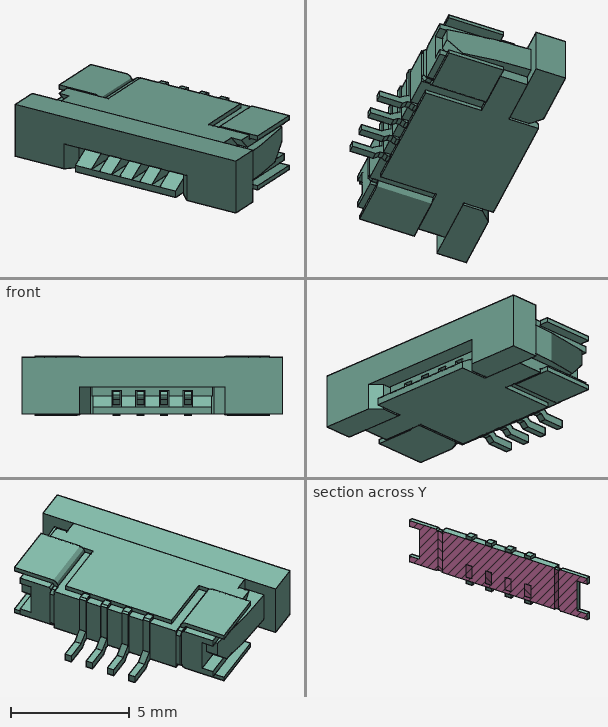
import cadquery as cq
import math

HEIGHT = 2.4
MID_Z = HEIGHT / 2
SEAT_DROP = 0.05

SLIDER_WIDTH = 11.0
SLIDER_DEPTH = 1.35
MOUTH_HALF_WIDTH = 2.6
MOUTH_HEIGHT = 1.15
MOUTH_FLARE = 0.46
ARM_INNER_X = 4.1
ARM_ROOT_X = 4.95
ARM_MID_X = 4.88
ARM_TIP_X = 4.62
ARM_MID_Y = 2.94
ARM_TIP_Y = 5.05
ARM_CLEARANCE = 0.03
ARM_CHAMFER = 0.68

CORE_HALF_WIDTH = 4.05
WING_HALF_WIDTH = 4.55
WING_REAR_Y = 5.35
WING_FRONT_Y = 1.95
WING_UNDERCUT = 0.47
GROOVE_BOTTOM = 0.5
GROOVE_TOP = HEIGHT - GROOVE_BOTTOM
LEDGE_DEPTH = 0.2
LEDGE_FRONT_Y = 2.6
PAD_HALF_WIDTH = 2.5
PAD_REAR_Y = 5.15
HOUSING_REAR_Y = 5.49

LIP_HALF_WIDTH = 2.5
NOSE_HALF_WIDTH = 2.54
LIP_HEIGHT = 0.3
RAMP_TOP_Z = 0.76
RAMP_ANGLE = 30
NOSE_FRONT_Y = (RAMP_TOP_Z - LIP_HEIGHT) / math.tan(math.radians(RAMP_ANGLE))
WINDOW_WIDTH = 0.4
WINDOW_TOP = 1.0
WINDOW_REAR_Y = 1.96

TAB_THICKNESS = 0.2
TAB_INNER_X = 2.88
TAB_OUTER_X = 4.95
TAB_BEND_RADIUS = 0.3
TAB_REAR_Y = 5.1
TAB_TOP = HEIGHT + SEAT_DROP
WEB_TIP_CHAMFER = 0.16
SLOT_CHAMFER = TAB_BEND_RADIUS - TAB_THICKNESS

CONTACT_COUNT = 4
CONTACT_PITCH = 1.0
CONTACT_WIDTH = 0.3
POST_INSET = 0.05
BEAM_TOP = 0.95
BEAM_BOTTOM = 0.38
NOSE_TIP_Y = 1.7
NOSE_TOP = 0.8
NOSE_FACE_HEIGHT = 0.025
NOSE_RADIUS = 0.16
NOSE_BACK_Y = 1.97
POST_FRONT_Y = 5.17
POST_REAR_Y = 5.55
POST_TOP = HEIGHT - POST_INSET
POST_TOP_CHAMFER_Y = 0.1
POST_TOP_CHAMFER_Z = 0.05
POST_HEEL_Y = 5.3
ANKLE_FRONT_Y = 5.45
ANKLE_REAR_Y = 5.63
ANKLE_BOTTOM = 0.15
ANKLE_TOP = 0.61
FOOT_TOP = 0.28
FOOT_TOP_Y = 5.99
FOOT_BOTTOM_Y = 5.85
FOOT_END_Y = 6.9


def block(x0, x1, y0, y1, z0, z1):
    """Box between two opposite corners."""
    return cq.Workplane("XY").box(x1 - x0, y1 - y0, z1 - z0, centered=False).translate((x0, y0, z0))


def wide_block(half_width, y0, y1, z0, z1):
    """Box centred on X = 0."""
    return block(-half_width, half_width, y0, y1, z0, z1)


def with_mirror(shape):
    """The shape together with its mirror image across X = 0."""
    return shape.union(shape.mirror("YZ"))


def contact_positions():
    first = -(CONTACT_COUNT - 1) / 2 * CONTACT_PITCH
    return [first + i * CONTACT_PITCH for i in range(CONTACT_COUNT)]


def make_contact(x):
    """Spring beam with a rounded nose, an upright post and a bent solder foot."""
    nose_center_y = NOSE_TIP_Y + NOSE_RADIUS
    nose_center_z = NOSE_TOP - NOSE_FACE_HEIGHT
    nose_bottom = nose_center_z - NOSE_RADIUS
    arc_reach = NOSE_RADIUS * math.sqrt(0.5)
    profile = (
        cq.Workplane("YZ", origin=(x, 0, 0))
        .moveTo(NOSE_BACK_Y, BEAM_TOP)
        .lineTo(POST_FRONT_Y, BEAM_TOP)
        .lineTo(POST_FRONT_Y, POST_TOP)
        .lineTo(POST_REAR_Y - POST_TOP_CHAMFER_Y, POST_TOP)
        .lineTo(POST_REAR_Y, POST_TOP - POST_TOP_CHAMFER_Z)
        .lineTo(POST_REAR_Y, ANKLE_TOP)
        .lineTo(FOOT_TOP_Y, FOOT_TOP)
        .lineTo(FOOT_END_Y, FOOT_TOP)
        .lineTo(FOOT_END_Y, -SEAT_DROP)
        .lineTo(FOOT_BOTTOM_Y, -SEAT_DROP)
        .lineTo(ANKLE_REAR_Y, ANKLE_BOTTOM)
        .lineTo(ANKLE_FRONT_Y, ANKLE_BOTTOM)
        .lineTo(POST_HEEL_Y, POST_INSET)
        .lineTo(POST_FRONT_Y, POST_INSET)
        .lineTo(POST_FRONT_Y, BEAM_BOTTOM)
        .lineTo(NOSE_BACK_Y, BEAM_BOTTOM)
        .lineTo(nose_center_y, nose_bottom)
        .threePointArc(
            (nose_center_y - arc_reach, nose_center_z - arc_reach),
            (NOSE_TIP_Y, nose_center_z),
        )
        .lineTo(NOSE_TIP_Y, NOSE_TOP)
        .close()
    )
    return profile.extrude(CONTACT_WIDTH / 2, both=True)


def make_right_tab():
    """C-shaped solder tab: two plates bent outward from an upright web at +X."""
    envelope = block(TAB_INNER_X, TAB_OUTER_X, LEDGE_FRONT_Y, TAB_REAR_Y, -SEAT_DROP, TAB_TOP)
    envelope = envelope.edges("|Y and <X").fillet(TAB_BEND_RADIUS)
    inside = block(
        TAB_INNER_X + TAB_THICKNESS, TAB_OUTER_X + TAB_THICKNESS,
        LEDGE_FRONT_Y, TAB_REAR_Y,
        TAB_THICKNESS - SEAT_DROP, TAB_TOP - TAB_THICKNESS,
    )
    inside = inside.edges("|Y and <X").fillet(TAB_BEND_RADIUS - TAB_THICKNESS)
    web_margin = TAB_BEND_RADIUS - SEAT_DROP
    web_tip = block(
        TAB_INNER_X, TAB_INNER_X + TAB_THICKNESS,
        TAB_REAR_Y, HOUSING_REAR_Y, web_margin, HEIGHT - web_margin,
    )
    web_tip = web_tip.edges("|X and >Y").chamfer(WEB_TIP_CHAMFER)
    return envelope.cut(inside).union(web_tip)


def make_slider():
    """Front bar with a flared cable mouth and two tapered side arms."""
    bar = wide_block(SLIDER_WIDTH / 2, 0, SLIDER_DEPTH, 0, HEIGHT)
    flare_half_width = MOUTH_HALF_WIDTH + MOUTH_FLARE
    mouth = (
        cq.Workplane("XY")
        .polyline([
            (-flare_half_width, 0),
            (flare_half_width, 0),
            (MOUTH_HALF_WIDTH, MOUTH_FLARE),
            (MOUTH_HALF_WIDTH, SLIDER_DEPTH),
            (-MOUTH_HALF_WIDTH, SLIDER_DEPTH),
            (-MOUTH_HALF_WIDTH, MOUTH_FLARE),
        ])
        .close()
        .extrude(MOUTH_HEIGHT)
    )
    arm_bottom = GROOVE_BOTTOM + ARM_CLEARANCE
    arm_top = GROOVE_TOP - ARM_CLEARANCE
    arm = (
        cq.Workplane("XY", origin=(0, 0, arm_bottom))
        .polyline([
            (ARM_INNER_X, SLIDER_DEPTH),
            (ARM_ROOT_X, SLIDER_DEPTH),
            (ARM_MID_X, ARM_MID_Y),
            (ARM_TIP_X, ARM_TIP_Y),
            (ARM_INNER_X, ARM_TIP_Y),
        ])
        .close()
        .extrude(arm_top - arm_bottom)
        .edges("<Z and >Y")
        .chamfer(ARM_CHAMFER)
    )
    return bar.cut(mouth).union(with_mirror(arm))


def make_lip():
    """Nose block with a ramped lip that guides the cable."""
    nose = wide_block(NOSE_HALF_WIDTH, NOSE_FRONT_Y, SLIDER_DEPTH, RAMP_TOP_Z, MOUTH_HEIGHT)
    ramp = (
        cq.Workplane("YZ")
        .polyline([
            (0, 0),
            (0, LIP_HEIGHT),
            (NOSE_FRONT_Y, RAMP_TOP_Z),
            (SLIDER_DEPTH, RAMP_TOP_Z),
            (SLIDER_DEPTH, 0),
        ])
        .close()
        .extrude(LIP_HALF_WIDTH, both=True)
    )
    return nose.union(ramp)


def make_ledges():
    """Material removed above the upper ledges; mirrored across MID_Z for the lower ones."""
    ledge_z = HEIGHT - LEDGE_DEPTH
    surround = wide_block(WING_HALF_WIDTH, LEDGE_FRONT_Y, HOUSING_REAR_Y, ledge_z, HEIGHT)
    pad = wide_block(PAD_HALF_WIDTH, LEDGE_FRONT_Y, PAD_REAR_Y, ledge_z, HEIGHT)
    upper = surround.cut(pad)
    return upper.union(upper.mirror("XY", (0, 0, MID_Z)))


def make_wing_front_cut():
    """Wedge-ended cut that clears the front of the upper wing at +X."""
    return (
        cq.Workplane("YZ", origin=(CORE_HALF_WIDTH, 0, 0))
        .polyline([
            (SLIDER_DEPTH, GROOVE_TOP),
            (WING_FRONT_Y + WING_UNDERCUT, GROOVE_TOP),
            (WING_FRONT_Y, HEIGHT),
            (SLIDER_DEPTH, HEIGHT),
        ])
        .close()
        .extrude(WING_HALF_WIDTH - CORE_HALF_WIDTH)
    )


def make_slot_relief():
    """Bevels along the outer edge of the web slot at +X, on the upper and lower ledges."""
    slot_x = TAB_INNER_X + TAB_THICKNESS
    ledge_z = HEIGHT - LEDGE_DEPTH
    upper = (
        cq.Workplane("XZ", origin=(0, WING_REAR_Y, 0))
        .polyline([
            (slot_x, ledge_z - SLOT_CHAMFER),
            (slot_x + SLOT_CHAMFER, ledge_z),
            (slot_x, ledge_z),
        ])
        .close()
        .extrude(WING_REAR_Y - LEDGE_FRONT_Y)
    )
    return upper.union(upper.mirror("XY", (0, 0, MID_Z)))


def make_housing(tabs, contacts):
    """Insulator body with arm grooves, ledges, contact windows and pockets for the metal parts."""
    body = wide_block(WING_HALF_WIDTH, SLIDER_DEPTH, WING_REAR_Y, 0, HEIGHT)
    body = body.union(wide_block(TAB_INNER_X, SLIDER_DEPTH, HOUSING_REAR_Y, 0, HEIGHT))
    body = body.cut(make_ledges())
    groove = block(
        CORE_HALF_WIDTH, WING_HALF_WIDTH, SLIDER_DEPTH, WING_REAR_Y, GROOVE_BOTTOM, GROOVE_TOP
    )
    web_slot = block(
        TAB_INNER_X, TAB_INNER_X + TAB_THICKNESS, LEDGE_FRONT_Y, WING_REAR_Y, 0, HEIGHT
    )
    web_slot = web_slot.union(make_slot_relief())
    for cutter in (groove, make_wing_front_cut(), web_slot):
        body = body.cut(with_mirror(cutter))
    body = body.union(make_lip())
    for x in contact_positions():
        half = WINDOW_WIDTH / 2
        body = body.cut(block(x - half, x + half, 0, WINDOW_REAR_Y, LIP_HEIGHT, WINDOW_TOP))
    for metal_part in tabs + contacts:
        body = body.cut(metal_part)
    return body


right_tab = make_right_tab()
tabs = [right_tab, right_tab.mirror("YZ")]
contacts = [make_contact(x) for x in contact_positions()]
slider = make_slider()
housing = make_housing(tabs, contacts)

result = cq.Compound.makeCompound(
    [housing.val(), slider.val()]
    + [tab.val() for tab in tabs]
    + [contact.val() for contact in contacts]
)